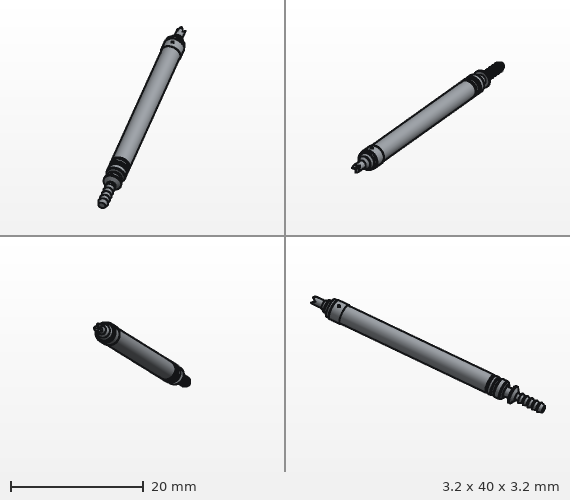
import cadquery as cq
import math

LENGTH = 40.0

core_radius = 0.55
barb_radius = 0.8
barb_count = 5
first_barb_top = 0.7
last_barb_top = 4.0
barb_pitch = (last_barb_top - first_barb_top) / (barb_count - 1)
barb_taper_length = 0.55
barb_root_radius = 0.6

cone_start, cone_end, flange_end = 4.65, 5.15, 5.45
cone_small_radius = 0.7
flange_radius = 1.4
neck_radius = 0.8

barrel_start = 6.5
barrel_diameter = 3.0
barrel_radius = barrel_diameter / 2
tail_bevel_length = 0.45
tail_face_radius = 1.1
shoulder_length = 0.2
shoulder_drop = 0.1
round_groove_start, round_groove_end = 7.7, 8.45
round_groove_depth = 0.2
flat_groove_start, flat_groove_end = 8.9, 9.3
flat_groove_depth = 0.1
flat_groove_slope = 0.1

collar_start, collar_end = 34.5, 36.3
collar_radius = 1.6
undercut_radius = 1.45
undercut_end = 36.45
nose_band_end = 36.9
nose_shoulder_radius = 1.3
nose_step_start, nose_step_end = 37.35, 37.55
nose_step_radius = 1.05
nose_end = 38.1
nose_tip_radius = 0.7

plunger_radius = 0.65
tooth_height = 0.7
crown_angles = (45, 135)

dimple_y = 35.5
dimple_radius = 0.2
dimple_depth = 0.2


def barb_points():
    """Half-profile (radius, y) points of the barbs, each tapering toward the tail."""
    points = [(core_radius, 0)]
    for i in range(barb_count):
        top = first_barb_top + i * barb_pitch
        if i > 0:
            taper_start = top - barb_taper_length
            points += [(core_radius, taper_start), (barb_root_radius, taper_start)]
        points += [(barb_radius, top), (core_radius, top)]
    return points


def turned_body():
    """Revolve the complete half-profile about the Y axis."""
    shoulder_edge_radius = barrel_radius - shoulder_drop
    tail_bevel_end = barrel_start + tail_bevel_length
    groove_middle = (round_groove_start + round_groove_end) / 2

    profile = cq.Workplane("XY").moveTo(0, 0)
    for point in barb_points():
        profile = profile.lineTo(*point)
    return (
        profile
        .lineTo(core_radius, cone_start)
        .lineTo(cone_small_radius, cone_start)
        .lineTo(flange_radius, cone_end)
        .lineTo(flange_radius, flange_end)
        .lineTo(neck_radius, flange_end)
        .lineTo(neck_radius, barrel_start)
        .lineTo(tail_face_radius, barrel_start)
        .lineTo(shoulder_edge_radius, tail_bevel_end - shoulder_length)
        .lineTo(barrel_radius, tail_bevel_end)
        .lineTo(barrel_radius, round_groove_start)
        .lineTo(shoulder_edge_radius, round_groove_start + shoulder_length)
        .threePointArc(
            (barrel_radius - round_groove_depth, groove_middle),
            (shoulder_edge_radius, round_groove_end - shoulder_length),
        )
        .lineTo(barrel_radius, round_groove_end)
        .lineTo(barrel_radius, flat_groove_start)
        .lineTo(barrel_radius - flat_groove_depth, flat_groove_start + flat_groove_slope)
        .lineTo(barrel_radius - flat_groove_depth, flat_groove_end - flat_groove_slope)
        .lineTo(barrel_radius, flat_groove_end)
        .lineTo(barrel_radius, collar_start)
        .lineTo(collar_radius, collar_start)
        .lineTo(collar_radius, collar_end)
        .lineTo(undercut_radius, collar_end)
        .lineTo(barrel_radius, undercut_end)
        .lineTo(barrel_radius, nose_band_end)
        .lineTo(nose_shoulder_radius, nose_band_end)
        .lineTo(nose_step_radius, nose_step_start)
        .lineTo(nose_step_radius, nose_step_end)
        .lineTo(nose_tip_radius, nose_end)
        .lineTo(plunger_radius, nose_end)
        .lineTo(plunger_radius, LENGTH)
        .lineTo(0, LENGTH)
        .close()
        .revolve(360, (0, 0, 0), (0, 1, 0))
    )


def crown_groove(angle):
    """V groove across the plunger end, turned about Y; the crossing pair leaves four teeth."""
    half_width = plunger_radius * math.sqrt(0.5)
    return (
        cq.Workplane("XY")
        .moveTo(-half_width, LENGTH)
        .lineTo(0, LENGTH - tooth_height)
        .lineTo(half_width, LENGTH)
        .close()
        .extrude(plunger_radius, both=True)
        .rotate((0, 0, 0), (0, 1, 0), angle)
    )


def dimple():
    """Small blind hole entering the collar from +Z."""
    return (
        cq.Workplane("XY", origin=(0, dimple_y, collar_radius - dimple_depth))
        .circle(dimple_radius)
        .extrude(2 * dimple_depth)
    )


result = turned_body()
for angle in crown_angles:
    result = result.cut(crown_groove(angle))
result = result.cut(dimple())